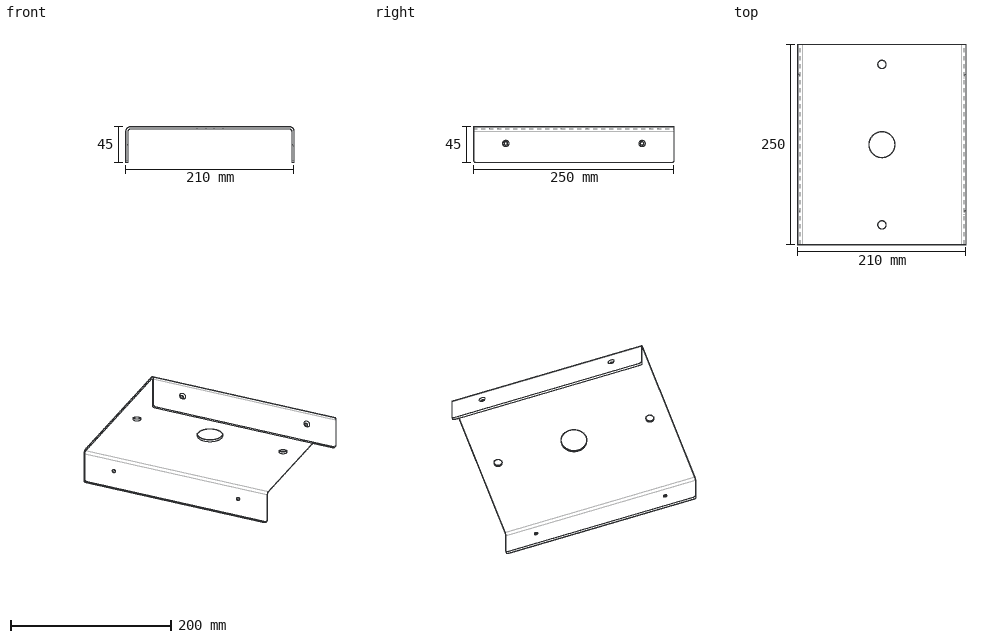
import cadquery as cq

width = 210.0
length = 250.0
height = 45.0

thickness = 3.0
inner_bend_radius = 3.0
outer_bend_radius = inner_bend_radius + thickness
flange_corner_radius = 3.0
drill_depth = 2 * thickness

center_hole_diameter = 32.1
mount_hole_diameter = 10.1
mount_hole_spacing = 200.0

screw_hole_diameter = 4.1
countersink_diameter = 8.0
countersink_angle = 90.0
screw_hole_spacing = 170.0
screw_hole_drop = 21.0


def channel_block(block_width, block_height, bend_radius):
    """Solid block standing on Z = 0 with its two upper long edges rounded."""
    return (
        cq.Workplane("XY")
        .box(block_width, length, block_height, centered=(True, True, False))
        .edges("|Y and >Z")
        .fillet(bend_radius)
    )


def folded_sheet():
    """Top plate with a flange bent down along each long side."""
    outside = channel_block(width, height, outer_bend_radius)
    inside = channel_block(width - 2 * thickness, height - thickness, inner_bend_radius)
    return outside.cut(inside)


def round_flange_corners(sheet):
    """Round the lower corners of both flanges."""
    return sheet.faces("<Z").edges("|X").fillet(flange_corner_radius)


def drill_top_plate(sheet):
    """Large central hole and one mounting hole near each end."""
    half_spacing = mount_hole_spacing / 2
    return (
        sheet.faces(">Z")
        .workplane(origin=(0, 0, height))
        .hole(center_hole_diameter, drill_depth)
        .faces(">Z")
        .workplane(origin=(0, 0, height))
        .pushPoints([(0, -half_spacing), (0, half_spacing)])
        .hole(mount_hole_diameter, drill_depth)
    )


def drill_flange(sheet, outer_face):
    """Two screw holes, countersunk from the outside of one flange."""
    half_spacing = screw_hole_spacing / 2
    return (
        sheet.faces(outer_face)
        .workplane(origin=(0, 0, height - screw_hole_drop))
        .pushPoints([(-half_spacing, 0), (half_spacing, 0)])
        .cskHole(screw_hole_diameter, countersink_diameter, countersink_angle, drill_depth)
    )


result = round_flange_corners(folded_sheet())
result = drill_top_plate(result)
for flange_face in ("<X", ">X"):
    result = drill_flange(result, flange_face)